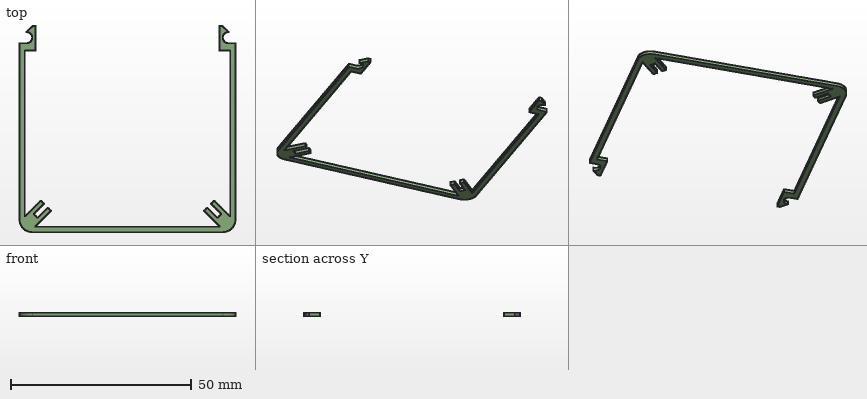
import cadquery as cq
import math

width = 60.0
depth = 57.3
thickness = 1.0
wall = 1.55
corner_radius = 3.6

hook_width = 4.5
hook_length = 6.9
hook_flat = 0.8
barb_tip_x = 1.85
notch_radius = 1.5
notch_center_x = 2.05
notch_center_drop = 3.3

lug_width = 4.0
lug_reach = 10.45
slot_width = 1.5
slot_start = 6.4

half_width = width / 2
half_depth = depth / 2


def plate(x_min, x_max, y_min, y_max):
    """Flat rectangular plate resting on Z = -thickness / 2."""
    return (
        cq.Workplane("XY", origin=(0, 0, -thickness / 2))
        .center((x_min + x_max) / 2, (y_min + y_max) / 2)
        .rect(x_max - x_min, y_max - y_min)
        .extrude(thickness)
    )


def make_channel():
    """U-shaped wall with rounded outer corners, ending at the hook ledges."""
    ledge_y = half_depth - notch_center_drop - notch_radius
    outer = plate(-half_width, half_width, -half_depth, ledge_y)
    outer = outer.edges("|Z and <Y").fillet(corner_radius)
    inner = plate(-half_width + wall, half_width - wall, -half_depth + wall, ledge_y)
    return outer.cut(inner)


def make_hook():
    """Left hook: a sloped barb above a round notch."""
    left = -half_width
    inside = left + hook_width
    notch_x = left + notch_center_x
    notch_y = half_depth - notch_center_drop
    tip_rise = math.sqrt(notch_radius**2 - (notch_center_x - barb_tip_x) ** 2)
    return (
        cq.Workplane("XY", origin=(0, 0, -thickness / 2))
        .moveTo(inside, half_depth)
        .lineTo(inside - hook_flat, half_depth)
        .lineTo(left + barb_tip_x, notch_y + tip_rise)
        .threePointArc((notch_x + notch_radius, notch_y), (notch_x, notch_y - notch_radius))
        .lineTo(left, notch_y - notch_radius)
        .lineTo(left, half_depth - hook_length)
        .lineTo(inside, half_depth - hook_length)
        .close()
        .extrude(thickness)
    )


def make_lug():
    """Left lug: a bar along the corner diagonal with a slot in its free end."""
    root = wall * math.sqrt(2)
    bar = plate(root, lug_reach, -lug_width / 2, lug_width / 2)
    slot = plate(slot_start, lug_reach, -slot_width / 2, slot_width / 2)
    lug = bar.cut(slot).rotate((0, 0, 0), (0, 0, 1), 45)
    return lug.translate((-half_width, -half_depth, 0))


result = make_channel()
for feature in (make_hook(), make_lug()):
    result = result.union(feature).union(feature.mirror("YZ"))